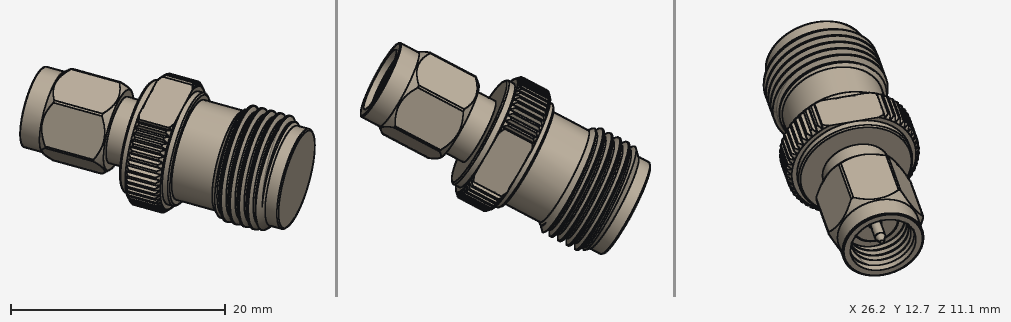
import cadquery as cq
import math

length = 26.17

collar_radius = 3.9
collar_end = 2.0
front_chamfer_length = 0.08
front_chamfer_depth = 0.13
hex_across_flats = 7.98
hex_corner_radius = 9.08 / 2
hex_front_corner = 2.8
hex_rear_corner = 7.65
hex_end = 8.37
hex_end_radius = collar_radius

bore_radius = 3.15
bore_lead_in_start = 0.68
bore_minor_radius = 2.8
bore_lead_in_end = bore_lead_in_start + bore_radius - bore_minor_radius
bore_floor = 3.0
bore_thread_pitch = 0.7
bore_thread_root_radius = 3.11
bore_thread_root_width = 0.08
bore_thread_crest_width = 0.1
dielectric_radius = 2.15
dielectric_gap = 0.08
pin_radius = 0.5
pin_tip_radius = 0.2
pin_tip = 0.45
pin_cone_end = 1.15
pin_gap = 0.13
gap_depth = 0.25

neck_radius = 3.22
flange_radius = 5.47
flange_start = 10.55
flange_end = 15.55
flange_chamfer = 0.15
knurl_radius = 12.7 / 2
knurl_start = 11.33
knurl_end = 14.85
knurl_chamfer = 0.4
knurl_pitch_angle = 6
knurl_last_groove_angle = 60
knurl_groove_angle = 60.0
barrel_radius = 4.85
barrel_chamfer = 0.13

thread_start = 19.58
thread_end = 24.85
thread_pitch = 3.6 / 4
thread_crest_radius = 11.12 / 2
thread_root_radius = 5.05
thread_root_width = 0.18
thread_crest_width = 0.15
thread_crest_below_axis = 20.02
thread_groove_turns = 8


def revolved(points):
    """Solid of revolution about the X axis from (x, radius) points."""
    return cq.Workplane("XY").polyline(points).close().revolve(360, (0, 0, 0), (1, 0, 0))


def cylinder(start, end, radius):
    return cq.Workplane("YZ", origin=(start, 0, 0)).circle(radius).extrude(end - start)


def chamfered_disc(start, end, radius, chamfer):
    return cylinder(start, end, radius).edges().chamfer(chamfer)


def ring(start, end, inner_radius, outer_radius):
    return cylinder(start, end, outer_radius).cut(cylinder(start, end, inner_radius))


def helical_groove(start, turns, pitch, root_radius, crest_radius, root_width, crest_width):
    """Right-hand helical cutter along X whose middle is on the -Z side at X = start.

    It goes past the crest radius along the flanks, until neighbouring turns are half a crest apart.
    """
    flank_slope = (crest_radius - root_radius) / (pitch - crest_width - root_width)
    mouth_width = pitch - crest_width / 2
    mouth_radius = root_radius + flank_slope * (mouth_width - root_width)
    section = [
        (root_radius, -root_width / 2),
        (mouth_radius, -mouth_width / 2),
        (mouth_radius, mouth_width / 2),
        (root_radius, root_width / 2),
    ]
    helix = cq.Wire.makeHelix(pitch, pitch * turns, root_radius)
    groove = cq.Workplane("XZ").polyline(section).close().sweep(cq.Workplane(helix), isFrenet=True)
    return groove.rotate((0, 0, 0), (0, 1, 0), 90).translate((start, 0, 0))


def coupling_nut():
    across_corners = hex_across_flats / math.cos(math.pi / 6)
    hexagon = cq.Workplane("YZ", origin=(collar_end, 0, 0)).polygon(6, across_corners)
    turned_envelope = revolved([
        (collar_end, 0),
        (collar_end, collar_radius),
        (hex_front_corner, hex_corner_radius),
        (hex_rear_corner, hex_corner_radius),
        (hex_end, hex_end_radius),
        (hex_end, 0),
    ])
    collar = revolved([
        (0, 0),
        (0, collar_radius - front_chamfer_depth),
        (front_chamfer_length, collar_radius),
        (collar_end, collar_radius),
        (collar_end, 0),
    ])
    return hexagon.extrude(hex_end - collar_end).intersect(turned_envelope).union(collar)


def nut_bore():
    return revolved([
        (0, 0),
        (0, bore_radius),
        (bore_lead_in_start, bore_radius),
        (bore_lead_in_end, bore_minor_radius),
        (hex_end, bore_minor_radius),
        (hex_end, 0),
    ])


def nut_thread_groove():
    start = bore_lead_in_end - (bore_thread_pitch + bore_thread_crest_width) / 2
    turns = math.ceil((bore_floor - start) / bore_thread_pitch)
    return helical_groove(
        start, turns, bore_thread_pitch, bore_thread_root_radius,
        bore_minor_radius, bore_thread_root_width, bore_thread_crest_width,
    )


def centre_pin():
    return revolved([
        (pin_tip, 0),
        (pin_tip, pin_tip_radius),
        (pin_cone_end, pin_radius),
        (bore_floor + gap_depth, pin_radius),
        (bore_floor + gap_depth, 0),
    ])


def knurled_ring():
    disc = chamfered_disc(knurl_start, knurl_end, knurl_radius, knurl_chamfer)
    groove_root_radius = knurl_radius - knurl_chamfer
    reach = 2 * knurl_chamfer
    half_mouth = reach * math.tan(math.radians(knurl_groove_angle / 2))
    groove = (
        cq.Workplane("YZ", origin=(knurl_start, 0, 0))
        .polyline([
            (groove_root_radius, 0),
            (groove_root_radius + reach, half_mouth),
            (groove_root_radius + reach, -half_mouth),
        ])
        .close()
        .extrude(knurl_end - knurl_start)
    )
    grooves = []
    for side in (0, 180):
        for angle in range(-knurl_last_groove_angle, knurl_last_groove_angle + 1, knurl_pitch_angle):
            grooves.append(groove.rotate((0, 0, 0), (1, 0, 0), side + angle).val())
    flats = (
        cq.Workplane("YZ", origin=(knurl_start, 0, 0))
        .rect(2 * knurl_radius, 2 * flange_radius)
        .extrude(knurl_end - knurl_start)
    )
    return disc.cut(cq.Compound.makeCompound(grooves)).intersect(flats)


def external_thread():
    groove_start = thread_crest_below_axis - 1.5 * thread_pitch
    groove = helical_groove(
        groove_start, thread_groove_turns, thread_pitch, thread_root_radius,
        thread_crest_radius, thread_root_width, thread_crest_width,
    )
    rod_end = groove_start + (thread_groove_turns + 1) * thread_pitch
    rod = cylinder(groove_start - thread_pitch, rod_end, thread_crest_radius)
    rise = thread_crest_radius - barrel_radius
    envelope = revolved([
        (thread_start, 0),
        (thread_start, barrel_radius),
        (thread_start + rise, thread_crest_radius),
        (thread_end - rise, thread_crest_radius),
        (thread_end, barrel_radius),
        (thread_end, 0),
    ])
    return rod.cut(groove).intersect(envelope)


def inner_body():
    """Neck that runs on inside the nut up to the bore floor, with narrow gaps in its face."""
    gap_end = bore_floor + gap_depth
    dielectric_slot = ring(bore_floor, gap_end, dielectric_radius, dielectric_radius + dielectric_gap)
    pin_clearance = ring(bore_floor, gap_end, pin_radius, pin_radius + pin_gap)
    return cylinder(bore_floor, flange_start, neck_radius).cut(dielectric_slot).cut(pin_clearance)


flange = chamfered_disc(flange_start, flange_end, flange_radius, flange_chamfer)
barrel = cylinder(flange_end, length, barrel_radius).faces(">X").chamfer(barrel_chamfer)

result = (
    coupling_nut()
    .cut(nut_bore())
    .cut(nut_thread_groove())
    .union(inner_body())
    .union(centre_pin())
    .union(flange)
    .union(knurled_ring())
    .union(barrel)
    .union(external_thread())
)